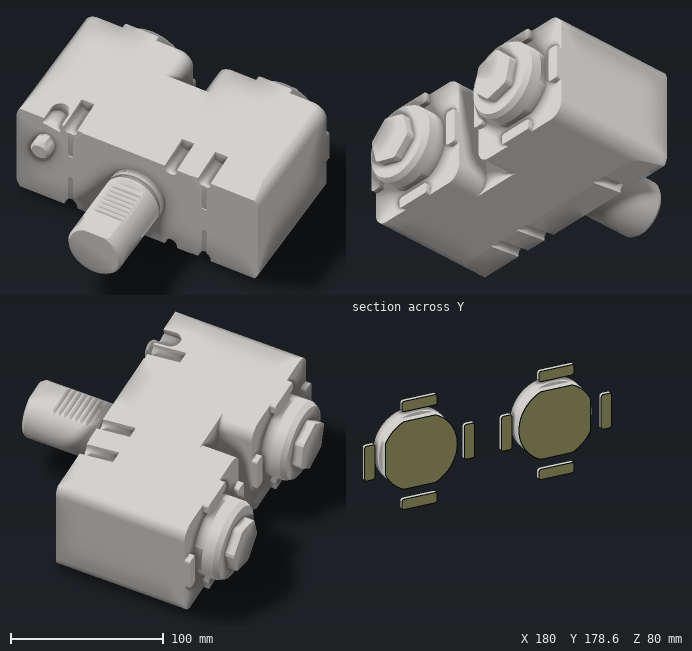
import cadquery as cq
import math


BODY_LENGTH = 180.0
BODY_HEIGHT = 80.0
BODY_FRONT = 94.0
CORNER_RADIUS = 10.0
HALF_HEIGHT = BODY_HEIGHT / 2
GAP_WIDTH = 19.0
LOBE_LENGTH = (BODY_LENGTH - GAP_WIDTH) / 2
LOBE_X = (BODY_LENGTH - LOBE_LENGTH) / 2
GAP_FLOOR = 69.5
BEVEL_LENGTH = 23.0
BEVEL_DROP = 3.0

TAB_WIDTH = 26.0
TAB_DEPTH = 8.0
TAB_FRONT = 98.0
TAB_RADIUS = 2.0

COLLAR_DIAMETER = 55.0
COLLAR_FRONT = 112.0
COLLAR_BEVEL_LENGTH = 3.8
COLLAR_BEVEL_DROP = 2.0
COLLAR_FLAT_DISTANCE = 25.0
COLLAR_FLAT_FRONT = 100.0
NUT_FRONT = 118.6
NUT_ACROSS_FLATS = 31.5
NUT_DIAMETER = 35.1
NUT_TURN = 13.7

SHANK_DIAMETER = 40.0
SHANK_RADIUS = SHANK_DIAMETER / 2
SHANK_LENGTH = 60.0
SHANK_BEVEL_LENGTH = 2.0
SHANK_BEVEL_DROP = 1.5
SHANK_RELIEF_DIAMETER = 39.6
RELIEF_WIDTH = 0.5
RELIEF_STARTS = (0.5, 1.6)
RING_GROOVE_DIAMETER = 36.0
RING_GROOVE_START = 4.0
RING_GROOVE_WIDTH = 3.2
RING_GROOVE_BEVEL = 0.5
SEAT_DIAMETER = 42.5
SEAT_STEP_DIAMETER = 41.0
SEAT_STEP_DEPTH = 0.5
SEAT_DEPTH = 1.0

RACK_HEIGHT = 17.0
RACK_START = 11.7
TOOTH_COUNT = 7
TOOTH_PITCH = 4.0
FIRST_TOOTH = 15.7
TOOTH_GAP_WIDTH = 3.5
TOOTH_DEPTH = 1.6

GROOVE_LENGTH = 24.1
GROOVE_FLOOR = 31.0
GROOVE_WIDTH = 9.5
MIDDLE_GROOVE_WIDTH = 9.0
MIDDLE_GROOVE_X = LOBE_X / 2
SLIT_WIDTH = 3.6
SLIT_END = 9.7
SLIT_CORNER_RADIUS = 1.6
SLIT_DEPTH = 0.9
DISC_RADIUS = 54.9
CORNER_STEP_DEPTH = 0.4

SLANT = 11.5
POCKET_X = -64.3
POCKET_FLOOR = 30.8
POCKET_WIDTH = 13.0
POCKET_LENGTH = 15.8
PIN_X = -67.9
PIN_Z = 15.1
PIN_RADIUS = 6.8
PIN_LENGTH = 10.0
PIN_END_RADIUS = 5.4
PIN_BEVEL_LENGTH = 2.5
PIN_LUG_RADIUS = 7.7
PIN_LUG_BASE = 6.7
PIN_LUG_TIP = 2.9

OVERLAP = 1.8


def plane_at(y, x=0.0, z=0.0):
    """Sketch plane facing -Y, with X to the right and Z up seen from the shank side."""
    return cq.Workplane(cq.Plane(origin=(x, y, z), xDir=(1, 0, 0), normal=(0, -1, 0)))


def sweep_along_y(start_y, end_y, x=0.0, z=0.0):
    """Return a start plane and the signed depth that carries an extrusion from one Y to the other."""
    return plane_at(start_y, x, z), start_y - end_y


def cylinder(radius, start_y, end_y, x=0.0, z=0.0):
    plane, depth = sweep_along_y(start_y, end_y, x, z)
    return plane.circle(radius).extrude(depth)


def block(width, height, start_y, end_y, x=0.0, z=0.0):
    plane, depth = sweep_along_y(start_y, end_y, x, z)
    return plane.rect(width, height).extrude(depth)


def make_housing():
    base = block(BODY_LENGTH, BODY_HEIGHT, 0, GAP_FLOOR).edges("|Y").fillet(CORNER_RADIUS)
    for side in (-1, 1):
        lobe = block(LOBE_LENGTH, BODY_HEIGHT, GAP_FLOOR - OVERLAP, BODY_FRONT, side * LOBE_X)
        lobe = lobe.edges("|Y").fillet(CORNER_RADIUS)
        base = base.union(lobe)
    wedge = (
        cq.Workplane("YZ")
        .polyline([(0, HALF_HEIGHT - BEVEL_DROP), (BEVEL_LENGTH, HALF_HEIGHT), (0, HALF_HEIGHT)])
        .close()
        .extrude(BODY_LENGTH / 2, both=True)
    )
    return base.cut(wedge).cut(wedge.mirror("XY"))


def make_tab(x, turn):
    """Drive tab flush with one side of a lobe; even turns give the upper and lower tabs."""
    half_side = HALF_HEIGHT if turn % 2 == 0 else LOBE_LENGTH / 2
    centre_z = half_side - TAB_DEPTH / 2
    tab = block(TAB_WIDTH, TAB_DEPTH, BODY_FRONT - OVERLAP, TAB_FRONT, x, centre_z)
    return tab.edges("|Y").fillet(TAB_RADIUS).rotate((x, 0, 0), (x, 1, 0), 90 * turn)


def make_spindle(side):
    """Four drive tabs, the collar and the nut of one lobe."""
    x = side * LOBE_X
    collar_radius = COLLAR_DIAMETER / 2
    collar = (
        cylinder(collar_radius, BODY_FRONT - OVERLAP, COLLAR_FRONT, x)
        .faces(">Y")
        .chamfer(COLLAR_BEVEL_LENGTH, COLLAR_BEVEL_DROP)
    )
    flat_depth = collar_radius - COLLAR_FLAT_DISTANCE + OVERLAP
    flat_centre = COLLAR_FLAT_DISTANCE + flat_depth / 2
    for z in (-flat_centre, flat_centre):
        collar = collar.cut(block(COLLAR_DIAMETER, flat_depth, BODY_FRONT, COLLAR_FLAT_FRONT, x, z))
    outer_x = x + side * flat_centre
    collar = collar.cut(block(flat_depth, COLLAR_DIAMETER, BODY_FRONT, COLLAR_FLAT_FRONT, outer_x))

    plane, depth = sweep_along_y(COLLAR_FRONT - OVERLAP, NUT_FRONT, x)
    corner_diameter = NUT_ACROSS_FLATS / math.cos(math.pi / 6)
    nut = plane.transformed(rotate=(0, 0, 90 - side * NUT_TURN)).polygon(6, corner_diameter).extrude(depth)
    nut = nut.intersect(cylinder(NUT_DIAMETER / 2, COLLAR_FRONT - OVERLAP, NUT_FRONT, x))

    spindle = collar.union(nut)
    for turn in range(4):
        spindle = spindle.union(make_tab(x, turn))
    return spindle


def make_shank():
    shank = cylinder(SHANK_RADIUS, SEAT_DEPTH + OVERLAP, -SHANK_LENGTH)
    shank = shank.faces("<Y").chamfer(SHANK_BEVEL_LENGTH, SHANK_BEVEL_DROP)
    for start in RELIEF_STARTS:
        shank = shank.cut(ring(SHANK_RELIEF_DIAMETER / 2, -start, -start - RELIEF_WIDTH))
    groove_radius = RING_GROOVE_DIAMETER / 2
    groove_end = RING_GROOVE_START + RING_GROOVE_WIDTH
    groove = (
        cq.Workplane("XY")
        .polyline([
            (SHANK_RADIUS, -RING_GROOVE_START),
            (groove_radius + RING_GROOVE_BEVEL, -RING_GROOVE_START),
            (groove_radius, -RING_GROOVE_START - RING_GROOVE_BEVEL),
            (groove_radius, -groove_end + RING_GROOVE_BEVEL),
            (groove_radius + RING_GROOVE_BEVEL, -groove_end),
            (SHANK_RADIUS, -groove_end),
        ])
        .close()
        .revolve(360, (0, 0, 0), (0, 1, 0))
    )
    return shank.cut(groove).cut(make_rack_cut())


def make_seat():
    """Stepped recess of the housing around the shank."""
    step = cylinder(SEAT_DIAMETER / 2, 0, SEAT_STEP_DEPTH)
    return step.union(cylinder(SEAT_STEP_DIAMETER / 2, 0, SEAT_DEPTH))


def ring(inner_radius, start_y, end_y):
    """Ring that trims the shank down to an inner radius."""
    outer = cylinder(SHANK_RADIUS + OVERLAP, start_y, end_y)
    return outer.cut(cylinder(inner_radius, start_y, end_y))


def make_rack_cut():
    """Clamping flat with a 45 degree run-out, and the V gaps between its teeth."""
    rise = SHANK_RADIUS + OVERLAP - RACK_HEIGHT
    top = RACK_HEIGHT + rise
    cut = (
        cq.Workplane("YZ")
        .polyline([
            (-RACK_START, RACK_HEIGHT),
            (-RACK_START + rise, top),
            (-SHANK_LENGTH, top),
            (-SHANK_LENGTH, RACK_HEIGHT),
        ])
        .close()
        .extrude(SHANK_DIAMETER / 2, both=True)
    )
    for tooth in range(TOOTH_COUNT):
        y = -FIRST_TOOTH - tooth * TOOTH_PITCH
        gap = (
            cq.Workplane("YZ")
            .polyline([
                (y - TOOTH_GAP_WIDTH / 2, RACK_HEIGHT),
                (y, RACK_HEIGHT - TOOTH_DEPTH),
                (y + TOOTH_GAP_WIDTH / 2, RACK_HEIGHT),
            ])
            .close()
            .extrude(SHANK_DIAMETER / 2, both=True)
        )
        cut = cut.union(gap)
    return cut


def make_groove(x, width):
    """Round-bottomed screw groove in the upper bevel."""
    radius = width / 2
    centre_z = GROOVE_FLOOR + radius
    open_height = HALF_HEIGHT - centre_z + OVERLAP
    round_part = cylinder(radius, 0, GROOVE_LENGTH, x, centre_z)
    return round_part.union(block(width, open_height, 0, GROOVE_LENGTH, x, centre_z + open_height / 2))


def make_slit(x):
    height = GROOVE_FLOOR + GROOVE_WIDTH / 2 - SLIT_END
    slit = block(SLIT_WIDTH, height, 0, SLIT_DEPTH, x, SLIT_END + height / 2)
    return slit.edges("|Y").fillet(SLIT_CORNER_RADIUS)


def make_corner_steps():
    """Shallow steps between the slits and the round seating disc, in the upper half."""
    steps = block(2 * LOBE_X, HALF_HEIGHT, 0, CORNER_STEP_DEPTH, 0, HALF_HEIGHT / 2)
    return steps.cut(cylinder(DISC_RADIUS, 0, CORNER_STEP_DEPTH))


def make_face_cuts():
    """Grooves, slits and corner steps of the upper half."""
    cuts = make_groove(MIDDLE_GROOVE_X, MIDDLE_GROOVE_WIDTH).union(make_corner_steps())
    for x in (-LOBE_X, LOBE_X):
        cuts = cuts.union(make_groove(x, GROOVE_WIDTH)).union(make_slit(x))
    return cuts


def make_pocket():
    """Slanted pocket with a round end, open at the mounting face."""
    radius = POCKET_WIDTH / 2
    straight = POCKET_LENGTH - radius
    depth = HALF_HEIGHT - POCKET_FLOOR + 2 * OVERLAP
    pocket = (
        cq.Workplane("XY")
        .moveTo(-radius, -OVERLAP)
        .lineTo(-radius, straight)
        .threePointArc((0, POCKET_LENGTH), (radius, straight))
        .lineTo(radius, -OVERLAP)
        .close()
        .extrude(depth)
    )
    return pocket.rotate((0, 0, 0), (0, 1, 0), SLANT).translate((POCKET_X, 0, POCKET_FLOOR))


def make_pin():
    """Locating pin with two opposite tapered lugs and a conical end."""
    pin = cylinder(PIN_RADIUS, OVERLAP, -PIN_LENGTH)
    plane, depth = sweep_along_y(OVERLAP, -PIN_LENGTH)
    base_z = math.sqrt(PIN_RADIUS**2 - (PIN_LUG_BASE / 2) ** 2)
    lugs = (
        plane.polyline([
            (-PIN_LUG_TIP / 2, -PIN_LUG_RADIUS),
            (PIN_LUG_TIP / 2, -PIN_LUG_RADIUS),
            (PIN_LUG_BASE / 2, -base_z),
            (PIN_LUG_BASE / 2, base_z),
            (PIN_LUG_TIP / 2, PIN_LUG_RADIUS),
            (-PIN_LUG_TIP / 2, PIN_LUG_RADIUS),
            (-PIN_LUG_BASE / 2, base_z),
            (-PIN_LUG_BASE / 2, -base_z),
        ])
        .close()
        .extrude(depth)
    )
    outer_radius = math.hypot(PIN_LUG_RADIUS, PIN_LUG_TIP / 2)
    envelope = cylinder(outer_radius, OVERLAP, -PIN_LENGTH)
    envelope = envelope.faces("<Y").chamfer(PIN_BEVEL_LENGTH, outer_radius - PIN_END_RADIUS)
    pin = pin.union(lugs).intersect(envelope)
    return pin.rotate((0, 0, 0), (0, 1, 0), SLANT).translate((PIN_X, 0, PIN_Z))


face_cuts = make_face_cuts()
body = make_housing()
body = body.cut(face_cuts).cut(face_cuts.mirror("XY")).cut(make_pocket())
body = body.cut(make_seat())
for lobe_side in (-1, 1):
    body = body.union(make_spindle(lobe_side))
result = body.union(make_shank()).union(make_pin())